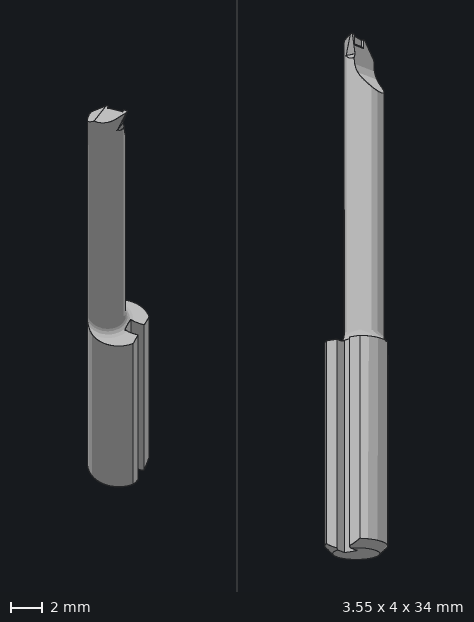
import cadquery as cq
import math

total_length = 34.0

shank_radius = 2.0
shank_length = 13.8
end_chamfer = 0.5
flat_x = 1.55
slot_width = 0.95
slot_floor_x = 0.63

neck_radius = 1.27
neck_edge_x = 0.355
neck_axis_x = neck_edge_x - neck_radius
neck_fillet = 0.75

rake_y = 0.07
rake_arc_radius = 2.0
rake_arc_start_z = 32.4
rake_runout_angle = math.radians(40)

tip_x = 0.58
top_edge_drop = 0.17
corner_x = -0.90
hook_back_y = -0.05
notch_x = 0.25
notch_z = 32.7
notch_end_z = 32.45
chip_groove_left_x = -0.75
chip_groove_right_x = 0.3
chip_groove_depth = 0.14
chip_groove_length = 0.6
top_relief_slope = math.tan(math.radians(10))
flank_relief_slope = math.tan(math.radians(5))

reach = 2 * shank_radius


def make_body():
    """Shank with chamfered end, trimmed around the neck axis above the shoulder."""
    shank = cq.Workplane("XY").circle(shank_radius).extrude(total_length)
    shank = shank.faces("<Z").chamfer(end_chamfer)
    fillet_top_z = shank_length + neck_fillet
    fillet_centre = (neck_radius + neck_fillet, fillet_top_z)
    mid_angle = math.pi / 4
    fillet_middle = (
        fillet_centre[0] - neck_fillet * math.cos(mid_angle),
        fillet_centre[1] - neck_fillet * math.sin(mid_angle),
    )
    envelope = (
        cq.Workplane("XZ", origin=(neck_axis_x, 0, 0))
        .lineTo(reach, 0)
        .lineTo(reach, shank_length)
        .lineTo(fillet_centre[0], shank_length)
        .threePointArc(fillet_middle, (neck_radius, fillet_top_z))
        .lineTo(neck_radius, total_length)
        .lineTo(0, total_length)
        .close()
        .revolve(360, (0, 0, 0), (0, 1, 0))
    )
    return shank.intersect(envelope)


def make_flat_and_slot():
    """Material removed by the side flat and the full-length groove in it."""
    flat = cq.Workplane("XY").box(reach, 2 * reach, total_length, centered=(False, True, False))
    slot = cq.Workplane("XY").box(reach, slot_width, total_length, centered=(False, True, False))
    return flat.translate((flat_x, 0, 0)).union(slot.translate((slot_floor_x, 0, 0)))


def make_hook():
    """Block at the tip that stands out past the neck; its back runs tangent into the neck."""
    back_x = tip_x - neck_axis_x
    back_distance = math.hypot(back_x, hook_back_y)
    tangent_angle = math.atan2(hook_back_y, back_x) - math.acos(neck_radius / back_distance)
    tangent_point = (
        neck_axis_x + neck_radius * math.cos(tangent_angle),
        neck_radius * math.sin(tangent_angle),
    )
    return (
        cq.Workplane("XY", origin=(0, 0, notch_z))
        .moveTo(neck_axis_x, rake_y)
        .lineTo(tip_x, rake_y)
        .lineTo(tip_x, hook_back_y)
        .lineTo(*tangent_point)
        .close()
        .extrude(total_length - notch_z)
    )


def make_rake_cut():
    """Rake face running out through an arc and a slope on the +Y side."""
    arc_end_y = rake_y + rake_arc_radius * (1 - math.cos(rake_runout_angle))
    arc_end_z = rake_arc_start_z - rake_arc_radius * math.sin(rake_runout_angle)
    half_angle = rake_runout_angle / 2
    arc_middle = (
        rake_y + rake_arc_radius * (1 - math.cos(half_angle)),
        rake_arc_start_z - rake_arc_radius * math.sin(half_angle),
    )
    runout_z = arc_end_z - (reach - arc_end_y) / math.tan(rake_runout_angle)
    return (
        cq.Workplane("YZ")
        .moveTo(rake_y, total_length)
        .lineTo(rake_y, rake_arc_start_z)
        .threePointArc(arc_middle, (arc_end_y, arc_end_z))
        .lineTo(reach, runout_z)
        .lineTo(reach, total_length)
        .close()
        .extrude(reach, both=True)
    )


def make_chip_groove():
    """Shallow groove in the rake face with a 45 degree runout at its lower end."""
    runout_start_z = total_length - chip_groove_length
    return (
        cq.Workplane("YZ", origin=(chip_groove_left_x, 0, 0))
        .moveTo(rake_y, total_length)
        .lineTo(rake_y - chip_groove_depth, total_length)
        .lineTo(rake_y - chip_groove_depth, runout_start_z)
        .lineTo(rake_y, runout_start_z - chip_groove_depth)
        .close()
        .extrude(chip_groove_right_x - chip_groove_left_x)
    )


def swept_cut(outline, start_y, shift_x, shift_z):
    """Prism from an XZ outline at start_y, swept to -Y and shifted per unit of depth."""
    points = [cq.Vector(x, start_y, z) for x, z in outline]
    wire = cq.Wire.makePolygon(points, close=True)
    return cq.Workplane(cq.Solid.extrudeLinear(wire, [], cq.Vector(shift_x, -1, shift_z) * reach))


def make_tip_cuts():
    """Relieved top edge, 45 degree corner and relieved flank with notch."""
    edge_slope = top_edge_drop / (tip_x - corner_x)
    left_z = total_length - edge_slope * (tip_x + reach)
    right_z = total_length + edge_slope * (reach - tip_x)
    top = [(-reach, left_z), (reach, right_z), (reach, total_length + reach), (-reach, total_length + reach)]
    relief = swept_cut(top, rake_y, 0, -top_relief_slope)

    corner_z = total_length - top_edge_drop
    corner = swept_cut(
        [(corner_x, corner_z), (corner_x, corner_z + reach), (corner_x - reach, corner_z - reach)],
        rake_y, 0, 0,
    )

    notch_run = (reach - notch_x) / (neck_edge_x - notch_x)
    flank = swept_cut(
        [
            (tip_x, total_length),
            (notch_x, notch_z),
            (reach, notch_z - notch_run * (notch_z - notch_end_z)),
            (reach, total_length),
        ],
        rake_y, -flank_relief_slope, 0,
    )
    return [relief, corner, flank]


result = make_body().cut(make_flat_and_slot()).union(make_hook()).cut(make_rake_cut())
result = result.cut(make_chip_groove())
for tip_cut in make_tip_cuts():
    result = result.cut(tip_cut)